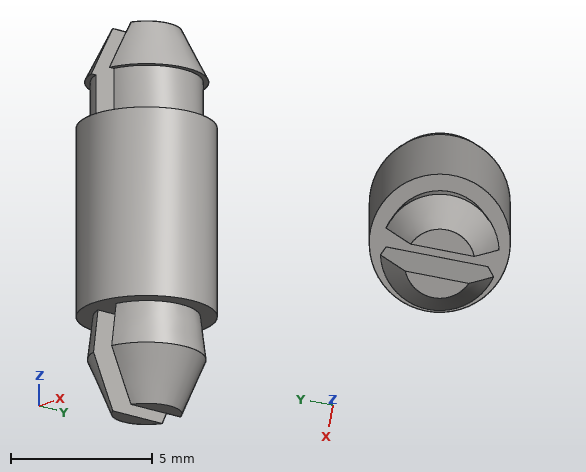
import cadquery as cq

total_length = 14.2
body_length = 7.0
lower_plug_length = 3.6
body_top = lower_plug_length + body_length

body_diameter = 5.0
tip_diameter = 2.5

neck_diameter = 4.0
neck_length = 1.7
head_diameter = 4.4

flare_root_diameter = 3.8
flare_diameter = 4.2
flare_length = 1.6

slot_width = 1.0


def revolved_pin():
    """Half profile as (radius, height), turned about the Z axis."""
    flare_height = lower_plug_length - flare_length
    head_base = body_top + neck_length
    profile = [
        (0, 0),
        (tip_diameter / 2, 0),
        (flare_diameter / 2, flare_height),
        (flare_root_diameter / 2, lower_plug_length),
        (body_diameter / 2, lower_plug_length),
        (body_diameter / 2, body_top),
        (neck_diameter / 2, body_top),
        (neck_diameter / 2, head_base),
        (head_diameter / 2, head_base),
        (tip_diameter / 2, total_length),
        (0, total_length),
    ]
    return cq.Workplane("XZ").polyline(profile).close().revolve(360, (0, 0, 0), (0, 1, 0))


def plug_slot(bottom, top):
    """Cutter through a whole plug between two heights."""
    return (
        cq.Workplane("XY")
        .workplane(offset=bottom)
        .rect(slot_width, body_diameter)
        .extrude(top - bottom)
    )


result = revolved_pin()
for bottom, top in [(0, lower_plug_length), (body_top, total_length)]:
    result = result.cut(plug_slot(bottom, top))